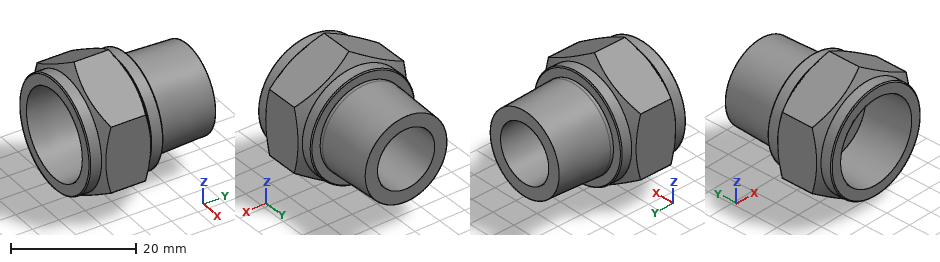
import cadquery as cq
import math

across_corners = 25.4
hex_length = 9.5
corner_chamfer_length = 1.47
corner_chamfer_angle = 30.0

collar_diameter = 21.0
collar_length = 2.25
collar_chamfer = 0.2

spigot_diameter = 17.3
spigot_tip_diameter = 16.45
spigot_straight_length = 0.64
spigot_taper_length = 10.7

socket_mouth_diameter = 16.64
socket_floor_diameter = 15.8
socket_depth = 9.65
bore_diameter = 11.5

hex_start = collar_length
hex_end = hex_start + hex_length
body_end = hex_end + collar_length
taper_start = body_end + spigot_straight_length
total_length = taper_start + spigot_taper_length


def revolve_profile(points):
    """Revolve (radius, y) points around the Y axis."""
    return cq.Workplane("XY").polyline(points).close().revolve(360, (0, 0, 0), (0, 1, 0))


def make_collar(inner_y, outer_y):
    """Collar from the hexagon face to its chamfered outer face."""
    radius = collar_diameter / 2
    chamfer_y = outer_y - math.copysign(collar_chamfer, outer_y - inner_y)
    return revolve_profile([
        (0, inner_y),
        (radius, inner_y),
        (radius, chamfer_y),
        (radius - collar_chamfer, outer_y),
        (0, outer_y),
    ])


def make_hexagon():
    """Hexagon with corners along Z, both ends trimmed by a cone narrower than the collars."""
    prism = (
        cq.Workplane("XZ", origin=(0, hex_start, 0))
        .transformed(rotate=(0, 0, 90))
        .polygon(6, across_corners)
        .extrude(-hex_length)
    )
    corner_radius = across_corners / 2
    end_radius = corner_radius - corner_chamfer_length / math.tan(math.radians(corner_chamfer_angle))
    envelope = revolve_profile([
        (0, hex_start),
        (end_radius, hex_start),
        (corner_radius, hex_start + corner_chamfer_length),
        (corner_radius, hex_end - corner_chamfer_length),
        (end_radius, hex_end),
        (0, hex_end),
    ])
    return prism.intersect(envelope)


def make_spigot():
    """Short straight root followed by a taper to the tip."""
    return revolve_profile([
        (0, body_end),
        (spigot_diameter / 2, body_end),
        (spigot_diameter / 2, taper_start),
        (spigot_tip_diameter / 2, total_length),
        (0, total_length),
    ])


def make_cavity():
    """Tapered socket opening into the through bore."""
    return revolve_profile([
        (0, 0),
        (socket_mouth_diameter / 2, 0),
        (socket_floor_diameter / 2, socket_depth),
        (bore_diameter / 2, socket_depth),
        (bore_diameter / 2, total_length),
        (0, total_length),
    ])


body = make_hexagon()
body = body.union(make_collar(hex_start, 0))
body = body.union(make_collar(hex_end, body_end))
body = body.union(make_spigot())
body = body.cut(make_cavity())

result = body.translate((0, -total_length / 2, 0))